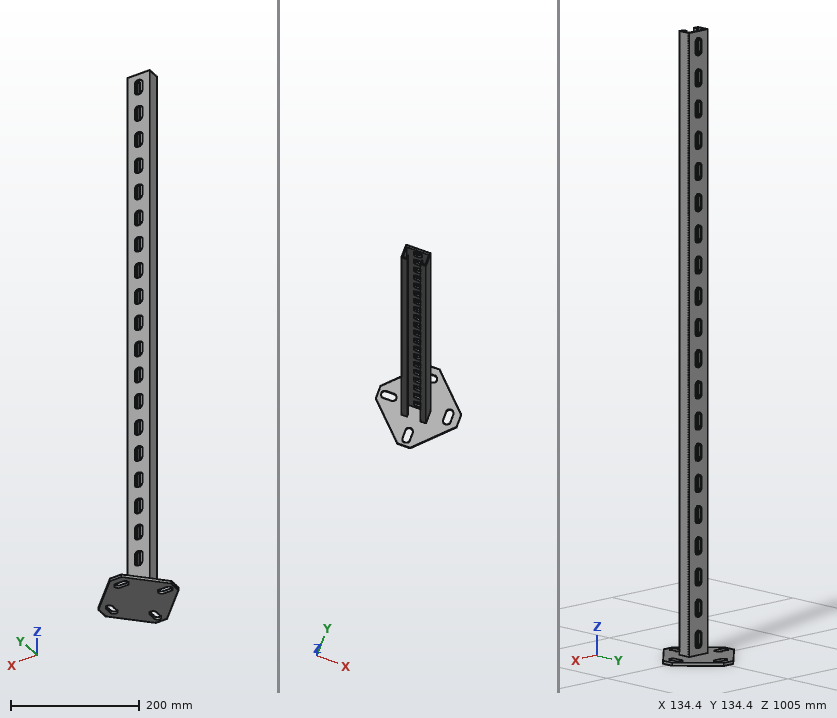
import cadquery as cq
import math

plate_side = 110.0
plate_corner_cut = 15.0
plate_thickness = 5.0

anchor_pitch = 70.0
anchor_offset = anchor_pitch / math.sqrt(2)
anchor_slot_length = 25.0
anchor_slot_width = 12.0

channel_length = 1000.0
channel_width = 41.0
channel_depth = 22.0
channel_wall = 2.0
back_thickness = 3.5
mouth_width = 22.0
lip_depth = 6.5

slot_pitch = 50.0
slot_length = 28.0
slot_width = 14.0
slot_count = round(channel_length / slot_pitch)


def make_plate():
    """Base plate, with its underside at Z = 0."""
    plate = (
        cq.Workplane("XY")
        .rect(plate_side, plate_side)
        .extrude(plate_thickness)
        .edges("|Z")
        .chamfer(plate_corner_cut)
        .rotate((0, 0, 0), (0, 0, 1), 45)
    )

    for x, y, angle in (
        (anchor_offset, 0, 90),
        (0, anchor_offset, 0),
        (-anchor_offset, 0, 0),
        (0, -anchor_offset, 90),
    ):
        slot = (
            cq.Workplane("XY", origin=(x, y, 0))
            .slot2D(anchor_slot_length, anchor_slot_width, angle)
            .extrude(plate_thickness)
        )
        plate = plate.cut(slot)
    return plate


def make_channel():
    """Slotted C-channel standing on the plate."""
    half_width = channel_width / 2
    half_mouth = mouth_width / 2
    front = -channel_depth
    lip_end = front + lip_depth

    half_section = (
        cq.Workplane("XY", origin=(0, 0, plate_thickness))
        .moveTo(0, 0)
        .lineTo(half_width, 0)
        .lineTo(half_width, front)
        .lineTo(half_mouth, front)
        .lineTo(half_mouth, lip_end)
        .lineTo(half_mouth + channel_wall, lip_end)
        .lineTo(half_mouth + channel_wall, front + channel_wall)
        .lineTo(half_width - channel_wall, front + channel_wall)
        .lineTo(half_width - channel_wall, -back_thickness)
        .lineTo(0, -back_thickness)
    )
    channel = half_section.mirrorY().extrude(channel_length)

    slot_centres = [
        (0, plate_thickness + (index + 0.5) * slot_pitch)
        for index in range(slot_count)
    ]
    slots = (
        cq.Workplane("XZ")
        .pushPoints(slot_centres)
        .slot2D(slot_length, slot_width, 90)
        .extrude(back_thickness)
    )
    return channel.cut(slots)


plate = make_plate()
channel = make_channel()

result = cq.Compound.makeCompound([plate.val(), channel.val()])